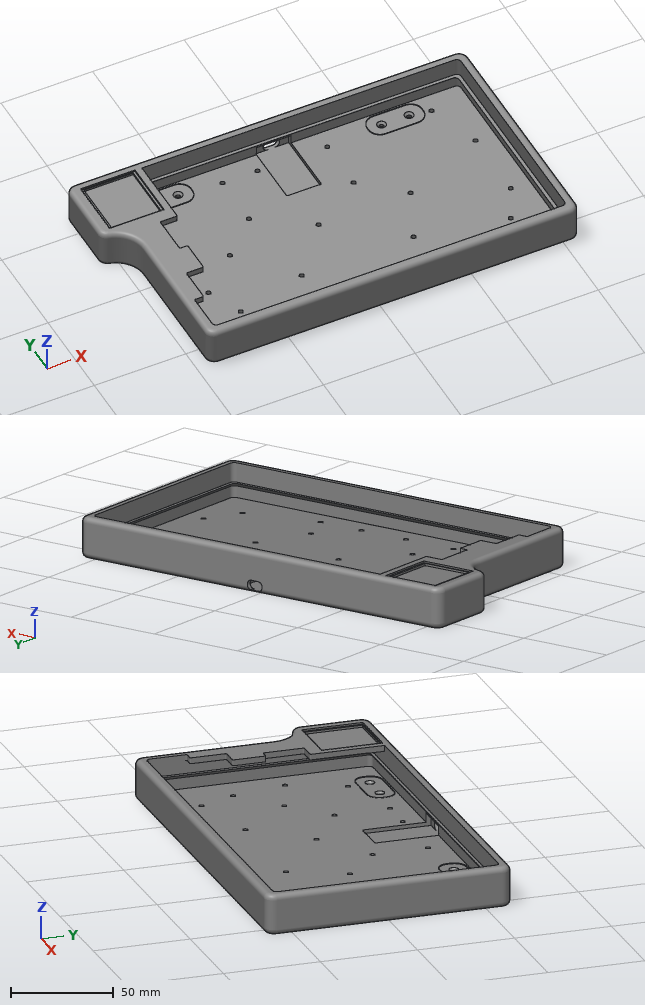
import cadquery as cq
import math

length = 217.5
depth = 126.4
height = 20.7
body_left = 15.0
corner_radius = 5.0
edge_round = 2.6

sweep_radius = 15.0
sweep_center_y = 71.5

rim = 5.0
lip_width = 2.0
lip_drop = lip_width
cavity_corner_radius = 2.5
floor_z = 3.0
lip_top_z = 10.9
cavity_left = body_left + rim
cavity_right = length - rim
cavity_front = rim
cavity_back = depth - rim

plate_thickness = 3.0
plate_bottom_z = height - plate_thickness
plate_corner_radius = 0.7
plate_steps = [
    (cavity_left, 26.0),
    (25.0, 44.8),
    (34.4, 62.0),
    (30.0, 83.0),
    (39.4, cavity_back),
]

tolerance = 0.02

badge_left = 6.0
badge_front = 90.3
badge_width = 29.5
badge_depth = 31.3
badge_step_x = 1.3
badge_step_y = 0.7
badge_step_z = 0.9
badge_floor_z = 2.0

mount_diameter = 2.5
first_row_y = 15.7
half_row = 43.8 / 10
mount_rows = [
    (0, [72.0, 100.7, 127.5, 152.0]),
    (2.2, [44.8, 192.3]),
    (4.4, [82.9, 144.0]),
    (6.5, [36.8, 201.8]),
    (10.9, [58.0, 106.5, 156.8]),
    (13, [31.3]),
    (15.2, [78.0, 135.3, 201.8]),
    (19.5, [42.6]),
    (21.8, [78.0, 97.2, 135.3, 192.3]),
]

pad_centers_x = [47.6, 173.8]
pad_y = 113.5
pad_length = 30.0
pad_width = 14.0
pad_corner_radius = 12.5 / 2
pad_recess = 0.5
screw_spacing = 15.0
screw_diameter = 2.5
screw_head_diameter = 4.8
countersink_angle = 90

port_x = 111.4
pocket_width = 19.0
pocket_front = 88.5
pocket_floor_z = 1.0
pocket_corner_radius = 0.9
pocket_wall_bite = 2.6
pocket_roof_z = 7.8
port_width = 9.0
port_height = 5.0


def box_between(x0, x1, y0, y1, z0, z1):
    """Block spanning the given coordinates."""
    return cq.Workplane("XY").box(x1 - x0, y1 - y0, z1 - z0, centered=False).translate((x0, y0, z0))


def case_body():
    """Solid outer shape with rounded corners and rounded top and bottom edges."""
    r = corner_radius
    sweep_center_x = body_left - sweep_radius
    center_distance = r + sweep_radius
    tab_corner_y = sweep_center_y + math.sqrt(center_distance**2 - (r - sweep_center_x) ** 2)
    touch_x = sweep_center_x + (r - sweep_center_x) * sweep_radius / center_distance
    touch_y = sweep_center_y + (tab_corner_y - sweep_center_y) * sweep_radius / center_distance
    return (
        cq.Workplane("XY")
        .moveTo(body_left + r, 0)
        .lineTo(length - r, 0)
        .tangentArcPoint((length, r), relative=False)
        .lineTo(length, depth - r)
        .tangentArcPoint((length - r, depth), relative=False)
        .lineTo(r, depth)
        .tangentArcPoint((0, depth - r), relative=False)
        .lineTo(0, tab_corner_y)
        .tangentArcPoint((touch_x, touch_y), relative=False)
        .tangentArcPoint((body_left, sweep_center_y), relative=False)
        .lineTo(body_left, r)
        .tangentArcPoint((body_left + r, 0), relative=False)
        .close()
        .extrude(height)
        .faces("<Z or >Z")
        .edges()
        .fillet(edge_round)
    )


def cavity_layer(z0, z1):
    """Full-width layer of the cavity between two heights."""
    layer = box_between(cavity_left, cavity_right, cavity_front, cavity_back, z0, z1)
    return layer.edges("|Z").fillet(cavity_corner_radius)


def cavity():
    """Cavity up to the underside of the cover plate, narrowing under the lip."""
    lip_bottom_z = lip_top_z - lip_drop
    size_x = cavity_right - cavity_left
    size_y = cavity_back - cavity_front
    at_wall = cq.Sketch().rect(size_x, size_y).vertices().fillet(cavity_corner_radius)
    at_lip = cq.Sketch().rect(size_x - 2 * lip_width, size_y - 2 * lip_width)
    at_lip = at_lip.vertices().fillet(cavity_corner_radius)
    center = ((cavity_left + cavity_right) / 2, (cavity_front + cavity_back) / 2, lip_bottom_z)
    inside_lip = (
        cq.Workplane("XY", origin=center)
        .placeSketch(at_wall, at_lip.moved(cq.Location(cq.Vector(0, 0, lip_drop))))
        .loft(ruled=True)
    )
    below_lip = cavity_layer(floor_z, lip_bottom_z)
    above_lip = cavity_layer(lip_top_z, plate_bottom_z)
    return below_lip.union(inside_lip).union(above_lip)


def plate_opening():
    """Opening through the top, bounded on the left by the stepped plate edge."""
    points = [(cavity_right, cavity_back), (cavity_right, cavity_front)]
    edge_front = cavity_front
    for edge_x, edge_back in plate_steps:
        points += [(edge_x, edge_front), (edge_x, edge_back)]
        edge_front = edge_back
    opening = cq.Workplane("XY").workplane(offset=plate_bottom_z).polyline(points).close()
    opening = opening.extrude(plate_thickness)
    back_left_x = plate_steps[-1][0]
    first_step_y = plate_steps[0][1]
    cavity_corners = opening.edges("|Z").filter(
        lambda edge: edge.Center().y < cavity_front + tolerance
        or edge.Center().x > cavity_right - tolerance
    )
    opening = cavity_corners.fillet(cavity_corner_radius)
    step_corners = opening.edges("|Z").filter(
        lambda edge: edge.Center().x < back_left_x + tolerance
        and first_step_y - tolerance < edge.Center().y < cavity_back - tolerance
    )
    return step_corners.fillet(plate_corner_radius)


def badge_recess():
    """Square recess with a narrow step around its floor."""
    right = badge_left + badge_width
    back = badge_front + badge_depth
    step = box_between(badge_left, right, badge_front, back, height - badge_step_z, height)
    floor = box_between(
        badge_left + badge_step_x, right - badge_step_x,
        badge_front + badge_step_y, back - badge_step_y,
        height - badge_floor_z, height,
    )
    return step.union(floor)


def mounting_holes():
    """Small holes through the floor."""
    points = [(x, first_row_y + row * half_row) for row, xs in mount_rows for x in xs]
    return cq.Workplane("XY").pushPoints(points).circle(mount_diameter / 2).extrude(floor_z)


def screw_pad(center_x):
    """Shallow pad recess with two countersunk screw holes through the floor."""
    pad_z = floor_z - pad_recess
    pad = (
        cq.Workplane("XY", origin=(center_x, pad_y, pad_z))
        .rect(pad_length, pad_width)
        .extrude(pad_recess)
        .edges("|Z")
        .fillet(pad_corner_radius)
    )
    head_radius = screw_head_diameter / 2
    cone_height = head_radius / math.tan(math.radians(countersink_angle / 2))
    for side in (-1, 1):
        center = cq.Vector(center_x + side * screw_spacing / 2, pad_y, 0)
        hole = cq.Solid.makeCylinder(screw_diameter / 2, pad_z, center)
        tip = center + cq.Vector(0, 0, pad_z - cone_height)
        cone = cq.Solid.makeCone(0, head_radius, cone_height, tip)
        pad = pad.union(cq.Workplane(hole)).union(cq.Workplane(cone))
    return pad


def connector_cut():
    """Connector pocket reaching into the back wall, and the rounded port through that wall."""
    pocket_back = cavity_back + pocket_wall_bite
    pocket = box_between(
        port_x - pocket_width / 2, port_x + pocket_width / 2,
        pocket_front, pocket_back, pocket_floor_z, pocket_roof_z,
    ).edges("|Z and <Y").fillet(pocket_corner_radius)
    port = (
        cq.Workplane("XZ", origin=(port_x, depth, pocket_floor_z + port_height / 2))
        .slot2D(port_width, port_height)
        .extrude(depth - pocket_back + pocket_wall_bite)
    )
    return pocket.union(port)


result = case_body().cut(cavity()).cut(plate_opening()).cut(badge_recess())
result = result.cut(mounting_holes()).cut(connector_cut())
for pad_x in pad_centers_x:
    result = result.cut(screw_pad(pad_x))